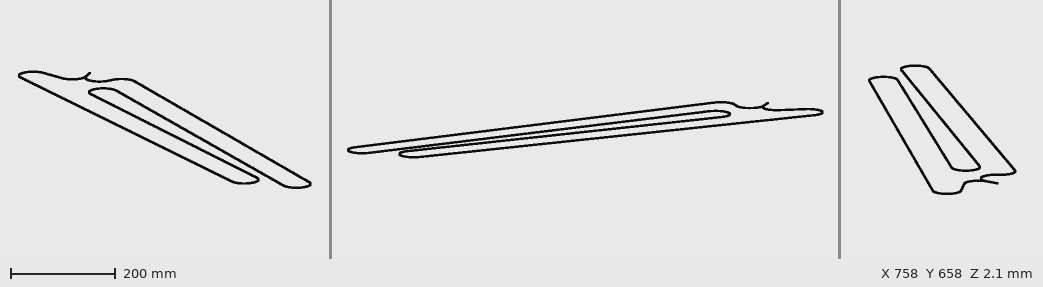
import cadquery as cq
import math

total_length = 758.0
total_depth = 658.0
wire_width = 2.1
bend_radius = 27.0

reach = bend_radius + wire_width / 2

valley_y = -26.0
shoulder_y = -48.5
left_shoulder_x = -98.5
right_shoulder_x = 78.0
inner_loop_x = 64.0
inner_loop_y = -121.0
near_foot_x = 499.0
far_foot_x = left_shoulder_x + total_length - 2 * reach
foot_y = reach - total_depth

CLOCKWISE = -1
COUNTERCLOCKWISE = 1

bends = [
    (bend_radius, valley_y, COUNTERCLOCKWISE),
    (right_shoulder_x, shoulder_y, CLOCKWISE),
    (far_foot_x, foot_y, CLOCKWISE),
    (inner_loop_x, inner_loop_y, COUNTERCLOCKWISE),
    (near_foot_x, foot_y, CLOCKWISE),
    (left_shoulder_x, shoulder_y, CLOCKWISE),
    (-bend_radius, valley_y, COUNTERCLOCKWISE),
]


def bend_point(bend, heading):
    """Point on a bend where the wire runs in the given heading."""
    x, y, turn = bend
    return (
        x + turn * bend_radius * math.sin(heading),
        y - turn * bend_radius * math.cos(heading),
    )


def tangent_heading(bend, next_bend):
    """Heading of the straight run tangent to two successive bends."""
    dx = next_bend[0] - bend[0]
    dy = next_bend[1] - bend[1]
    side_shift = bend_radius * (next_bend[2] - bend[2])
    return math.atan2(dy, dx) - math.asin(side_shift / math.hypot(dx, dy))


def turn_to(path, bend, heading, next_heading):
    """Extend the path along a bend from one heading to the next."""
    turn = bend[2]
    sweep_angle = turn * ((turn * (next_heading - heading)) % (2 * math.pi))
    return path.threePointArc(
        bend_point(bend, heading + sweep_angle / 2),
        bend_point(bend, next_heading),
    )


def sweep_wire(path, start_y):
    """Square wire along a path that leaves the stem axis at the given Y."""
    section = cq.Workplane("XZ", origin=(0, start_y, 0)).rect(wire_width, wire_width)
    return section.sweep(path)


def stem_and_serpentine():
    """Stem, then every bend and straight run up to the start of the last bend."""
    heading = -math.pi / 2
    path = cq.Workplane("XY").lineTo(0, valley_y)
    for bend, next_bend in zip(bends, bends[1:]):
        next_heading = tangent_heading(bend, next_bend)
        path = turn_to(path, bend, heading, next_heading)
        path = path.lineTo(*bend_point(next_bend, next_heading))
        heading = next_heading
    return sweep_wire(path, 0)


def closing_bend():
    """Last bend, swept backwards from the stem to meet the last straight run."""
    x, y, turn = bends[-1]
    reversed_bend = (x, y, -turn)
    end_heading = tangent_heading(bends[-2], bends[-1]) + math.pi
    path = cq.Workplane("XY").moveTo(0, valley_y)
    path = turn_to(path, reversed_bend, -math.pi / 2, end_heading)
    return sweep_wire(path, valley_y)


result = stem_and_serpentine().union(closing_bend())